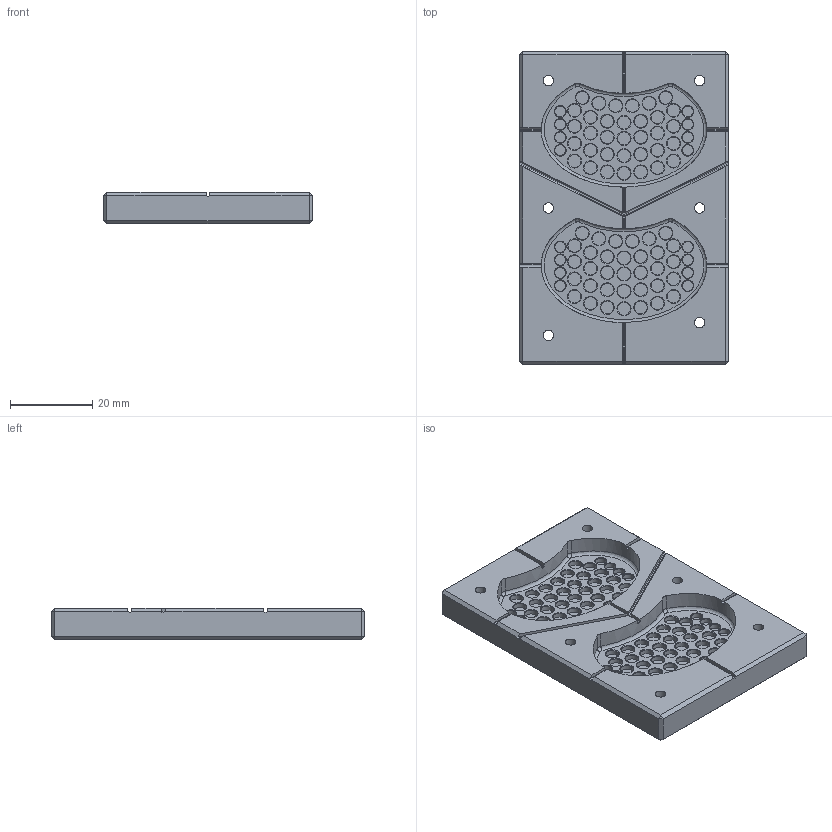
import cadquery as cq
import math

WIDTH = 50.8
LENGTH = 76.2
THICKNESS = 7.62
EDGE_CHAMFER = 0.762

POCKET_CENTERS_Y = (19.05, -13.97)
POCKET_HALF_WIDTH = 20.2
POCKET_HALF_LENGTH = 13.97
POCKET_DEPTH = 4.572
POCKET_FLOOR_Z = THICKNESS - POCKET_DEPTH
BITE_RADIUS = 25.4
BITE_LOWEST_Y = 8.9
POCKET_CORNER_RADIUS = 1.524
POCKET_FLOOR_FILLET = 0.762

DIMPLE_DEPTH = 1.27
LARGE_DIMPLE_DIAMETER = 3.17
SMALL_DIMPLE_DIAMETER = 2.64
DIMPLE_RIM_CHAMFER = 0.127
ROW_RADIUS = 26.0
FULL_ROW_X = (0.0, 4.08, 8.17, 12.07)
FULL_ROW_Y = (1.77, -2.1, -6.3, -10.58)
SHORT_ROW_X = (2.04, 6.12, 10.16)
SHORT_ROW_Y = 5.77
SMALL_COLUMN_X = 15.56
SMALL_COLUMN_CENTER_Y = -0.25
SMALL_COLUMN_PITCH = 3.15
SMALL_COLUMN_COUNT = 4

GROOVE_WIDTH = 0.9
GROOVE_DEPTH = 1.0
GROOVE_BEVEL = 0.25
DIAGONAL_MEETING_Y = -1.8
DIAGONAL_EDGE_Y = 11.0

HOLE_DIAMETER = 2.54
HOLE_X = 18.42
HOLE_Y = 31.05
ODD_HOLE_Y = -27.94
HOLE_POINTS = (
    (-HOLE_X, HOLE_Y),
    (HOLE_X, HOLE_Y),
    (-HOLE_X, 0),
    (HOLE_X, 0),
    (-HOLE_X, -HOLE_Y),
    (HOLE_X, ODD_HOLE_Y),
)


def make_plate():
    """Rectangular plate, underside on Z = 0, every edge chamfered."""
    plate = cq.Workplane("XY").box(WIDTH, LENGTH, THICKNESS, centered=(True, True, False))
    return plate.edges().chamfer(EDGE_CHAMFER)


def make_pocket():
    """Solid of one pocket, centered on the origin in X and Y."""
    floor = cq.Workplane("XY").workplane(offset=POCKET_FLOOR_Z)
    oval = floor.ellipse(POCKET_HALF_WIDTH, POCKET_HALF_LENGTH).extrude(POCKET_DEPTH)
    bite = floor.center(0, BITE_LOWEST_Y + BITE_RADIUS).circle(BITE_RADIUS).extrude(POCKET_DEPTH)
    bean = oval.cut(bite)
    bean = bean.edges(">Y").fillet(POCKET_CORNER_RADIUS)
    return bean.faces("<Z").edges().fillet(POCKET_FLOOR_FILLET)


def row_rise(x):
    """Rise of a curved dimple row at distance x from the pocket's middle."""
    return ROW_RADIUS - math.sqrt(ROW_RADIUS**2 - x**2)


def mirrored(points):
    """The points together with their mirror images in X, without repeats."""
    return sorted(set(points) | {(-x, y) for x, y in points})


def make_dimple(diameter):
    """Solid of one dimple on the Z axis, its rim broken by a small chamfer at the pocket floor."""
    radius = diameter / 2
    rim_radius = radius + DIMPLE_RIM_CHAMFER
    half_section = (
        cq.Workplane("XZ")
        .moveTo(0, POCKET_FLOOR_Z - DIMPLE_DEPTH)
        .lineTo(radius, POCKET_FLOOR_Z - DIMPLE_DEPTH)
        .lineTo(radius, POCKET_FLOOR_Z - DIMPLE_RIM_CHAMFER)
        .lineTo(rim_radius, POCKET_FLOOR_Z)
        .lineTo(0, POCKET_FLOOR_Z)
        .close()
    )
    return half_section.revolve(360, (0, 0, 0), (0, 1, 0)).val()


def make_dimples():
    """Solids of all dimples of one pocket centered on the origin."""
    large = [(x, y + row_rise(x)) for y in FULL_ROW_Y for x in FULL_ROW_X]
    large += [(x, SHORT_ROW_Y + row_rise(x)) for x in SHORT_ROW_X]
    middle = (SMALL_COLUMN_COUNT - 1) / 2
    small = [
        (SMALL_COLUMN_X, SMALL_COLUMN_CENTER_Y + (i - middle) * SMALL_COLUMN_PITCH)
        for i in range(SMALL_COLUMN_COUNT)
    ]
    large_dimple = make_dimple(LARGE_DIMPLE_DIAMETER)
    small_dimple = make_dimple(SMALL_DIMPLE_DIAMETER)
    dimples = [large_dimple.translate(cq.Vector(x, y, 0)) for x, y in mirrored(large)]
    dimples += [small_dimple.translate(cq.Vector(x, y, 0)) for x, y in mirrored(small)]
    return dimples


def make_groove(start, end):
    """Solid of a straight groove from start to end, square at both ends."""
    half_width = GROOVE_WIDTH / 2
    half_bottom = half_width - GROOVE_BEVEL
    bevel_z = GROOVE_BEVEL - GROOVE_DEPTH
    direction = cq.Vector(end[0] - start[0], end[1] - start[1], 0)
    across = cq.Vector(0, 0, 1).cross(direction)
    section = cq.Workplane(cq.Plane((start[0], start[1], THICKNESS), across, direction))
    return (
        section.moveTo(-half_width, 0)
        .lineTo(-half_width, bevel_z)
        .lineTo(-half_bottom, -GROOVE_DEPTH)
        .lineTo(half_bottom, -GROOVE_DEPTH)
        .lineTo(half_width, bevel_z)
        .lineTo(half_width, 0)
        .close()
        .extrude(direction.Length)
    )


def cut_grooves(body):
    """Cut the lengthwise, crosswise and diagonal grooves."""
    half_width = WIDTH / 2
    half_length = LENGTH / 2
    overrun = 1.0
    body = body.cut(make_groove((0, -half_length), (0, half_length)))
    for y in POCKET_CENTERS_Y:
        body = body.cut(make_groove((-half_width, y), (half_width, y)))
    slope = (DIAGONAL_EDGE_Y - DIAGONAL_MEETING_Y) / half_width
    for side in (-1, 1):
        outer_end = (side * (half_width + overrun), DIAGONAL_EDGE_Y + slope * overrun)
        body = body.cut(make_groove((0, DIAGONAL_MEETING_Y), outer_end))
    return body


def make_part():
    """Chamfered plate with grooves, two dimpled pockets and through holes."""
    body = cut_grooves(make_plate())
    pocket = make_pocket()
    dimples = cq.Compound.makeCompound(make_dimples())
    for y in POCKET_CENTERS_Y:
        body = body.cut(pocket.translate((0, y, 0)))
        body = body.cut(cq.Workplane(dimples.translate(cq.Vector(0, y, 0))))
    holes = cq.Workplane("XY").pushPoints(HOLE_POINTS).circle(HOLE_DIAMETER / 2).extrude(THICKNESS)
    return body.cut(holes)


result = make_part()